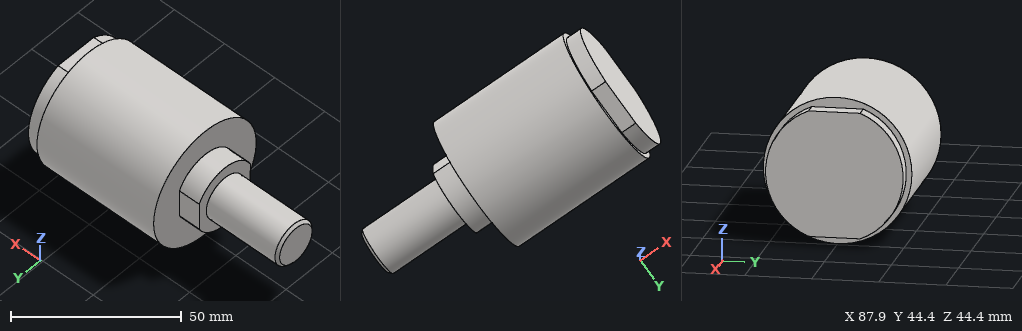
import cadquery as cq

total_length = 87.9
collar_length = 7.9
body_length = 46.6
cap_length = 5.0
pin_length = total_length - collar_length - body_length - cap_length

pin_diameter = 16.0
pin_chamfer = 1.0
collar_diameter = 24.5
collar_across_flats = 22.1
body_diameter = 44.4
cap_diameter = 41.05
cap_across_flats = 38.1

collar_start = pin_length
body_start = collar_start + collar_length
cap_start = body_start + body_length


def cylinder(start, length, diameter):
    """Round section along +X, beginning at the given station."""
    return cq.Workplane("YZ", origin=(start, 0, 0)).circle(diameter / 2).extrude(length)


def trim(section, start, length, width, height):
    """Keep only the part of a section inside a centred Y x Z rectangle."""
    envelope = cq.Workplane("YZ", origin=(start, 0, 0)).rect(width, height).extrude(length)
    return section.intersect(envelope)


pin = cylinder(0, pin_length, pin_diameter).faces("<X").chamfer(pin_chamfer)

collar = cylinder(collar_start, collar_length, collar_diameter)
collar = trim(collar, collar_start, collar_length, collar_across_flats, collar_diameter)

body = cylinder(body_start, body_length, body_diameter)

cap = cylinder(cap_start, cap_length, cap_diameter)
cap = trim(cap, cap_start, cap_length, cap_diameter, cap_across_flats)

result = pin.union(collar).union(body).union(cap)